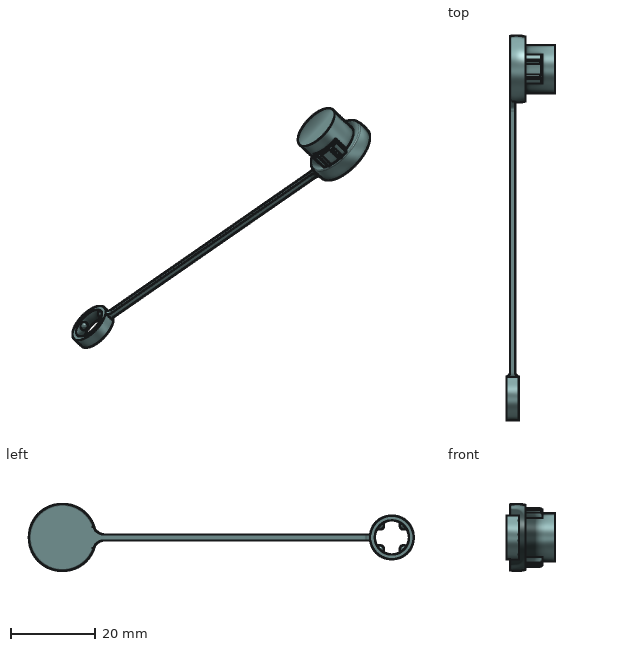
import cadquery as cq
import math

length = 91.2
ring_radius = 5.2
cap_diameter = 15.95
cap_radius = cap_diameter / 2
cap_y = length / 2 - cap_radius
ring_y = ring_radius - length / 2

ring_width = 2.9
ring_bore_radius = 4.0
nub_radius = 1.0
nub_count = 4

strap_thickness = 1.3
strap_height = 1.5
strap_x = (ring_width - strap_thickness) / 2
neck_radius = 2.7
flare_radius = 1.0

ball_x = 2.4
disc_back_x = strap_x
disc_front_x = 4.6
disc_back_radius = math.sqrt(cap_radius**2 - (ball_x - disc_back_x)**2)
disc_front_radius = math.sqrt(cap_radius**2 - (disc_front_x - ball_x)**2)
disc_edge_round = 0.3

plug_radius = 5.7
plug_end_x = 11.5

pad_radius = 6.8
pad_half_width = 3.5
pad_end_x = 8.5
pad_chamfer = 0.3
ridge_radius = 7.2
ridge_half_width = 0.55
ridge_angle = 15.0


def cylinder_x(radius, x_start, x_end, y):
    """Solid cylinder along X, centred on the given Y."""
    disc = cq.Workplane("YZ", origin=(x_start, y, 0)).circle(radius)
    return disc.extrude(x_end - x_start)


def make_disc():
    profile = (
        cq.Workplane("XY")
        .moveTo(disc_back_x, 0)
        .lineTo(disc_back_x, disc_back_radius)
        .threePointArc((ball_x, cap_radius), (disc_front_x, disc_front_radius))
        .lineTo(disc_front_x, 0)
        .close()
    )
    disc = profile.revolve(360, (0, 0, 0), (1, 0, 0))
    return disc.edges("%CIRCLE").fillet(disc_edge_round).translate((0, cap_y, 0))


def make_key_pad():
    """Upper key pad, with the plug axis on the X axis."""
    wall_z = math.sqrt(pad_radius**2 - pad_half_width**2)
    pad_length = pad_end_x - disc_back_x
    plane = cq.Workplane("YZ", origin=(disc_back_x, 0, 0))
    pad = (
        plane.moveTo(-pad_half_width, 0)
        .lineTo(-pad_half_width, wall_z)
        .threePointArc((0, pad_radius), (pad_half_width, wall_z))
        .lineTo(pad_half_width, 0)
        .close()
        .extrude(pad_length)
    )
    ridge_foot = math.sqrt(pad_radius**2 - ridge_half_width**2)
    ridge = (
        plane.moveTo(0, 0)
        .lineTo(-ridge_half_width, ridge_foot)
        .lineTo(0, ridge_radius)
        .lineTo(ridge_half_width, ridge_foot)
        .close()
        .extrude(pad_length)
    )
    for angle in (-ridge_angle, ridge_angle):
        pad = pad.union(ridge.rotate((0, 0, 0), (1, 0, 0), angle))

    end_radius = pad_radius - pad_chamfer
    bevel = (
        cq.Workplane("XY")
        .moveTo(disc_back_x, 0)
        .lineTo(disc_back_x, end_radius + pad_length)
        .lineTo(pad_end_x, end_radius)
        .lineTo(pad_end_x, 0)
        .close()
        .revolve(360, (0, 0, 0), (1, 0, 0))
    )
    return pad.intersect(bevel)


def make_key_pads():
    upper = make_key_pad()
    return upper.union(upper.mirror("XY")).translate((0, cap_y, 0))


def make_strap():
    strap_length = cap_y - ring_y
    return cq.Workplane("XY").box(
        strap_thickness, strap_length, strap_height, centered=(False, False, True)
    ).translate((strap_x, ring_y, 0))


def make_neck():
    """Web whose concave sides run tangent from the disc rim to the strap."""
    half_height = strap_height / 2
    arc_z = half_height + neck_radius
    reach = disc_back_radius + neck_radius
    arc_y = cap_y - math.sqrt(reach**2 - arc_z**2)
    web = (
        cq.Workplane("YZ", origin=(strap_x, 0, 0))
        .polyline([(arc_y, -arc_z), (arc_y, arc_z), (cap_y, 0)])
        .close()
        .extrude(strap_thickness)
    )
    for z in (-arc_z, arc_z):
        side = cq.Workplane("YZ", origin=(strap_x, arc_y, z)).circle(neck_radius)
        web = web.cut(side.extrude(strap_thickness))
    return web


def make_flare():
    """Strap end widening to the full ring width through concave fillets around the ring."""
    far_radius = ring_radius + math.sqrt(flare_radius**2 - (flare_radius - strap_x)**2)
    mid_angle = math.acos(1 - strap_x / flare_radius) / 2
    mid_x = strap_x - flare_radius * (1 - math.cos(mid_angle))
    mid_radius = far_radius - flare_radius * math.sin(mid_angle)
    profile = (
        cq.Workplane("XY")
        .moveTo(0, 0)
        .lineTo(0, ring_radius)
        .threePointArc((mid_x, mid_radius), (strap_x, far_radius))
        .lineTo(strap_x + strap_thickness, far_radius)
        .threePointArc((ring_width - mid_x, mid_radius), (ring_width, ring_radius))
        .lineTo(ring_width, 0)
        .close()
    )
    strap_slice = cq.Workplane("XY").box(
        ring_width, far_radius, strap_height, centered=(False, False, True)
    )
    flare = profile.revolve(360, (0, 0, 0), (1, 0, 0)).intersect(strap_slice)
    return flare.translate((0, ring_y, 0))


def make_nubs():
    spheres = cq.Workplane("YZ", origin=(ring_width / 2, ring_y, 0)).polarArray(
        ring_bore_radius, 180 / nub_count, 360, nub_count
    ).sphere(nub_radius)
    return spheres.intersect(cylinder_x(ring_radius, 0, ring_width, ring_y))


cap = make_disc().union(cylinder_x(plug_radius, disc_back_x, plug_end_x, cap_y))
cap = cap.union(make_key_pads())
tether = make_strap().union(make_neck()).union(make_flare())
tether = tether.union(cylinder_x(ring_radius, 0, ring_width, ring_y))
tether = tether.cut(cylinder_x(ring_bore_radius, 0, ring_width, ring_y)).union(make_nubs())
result = cap.union(tether)